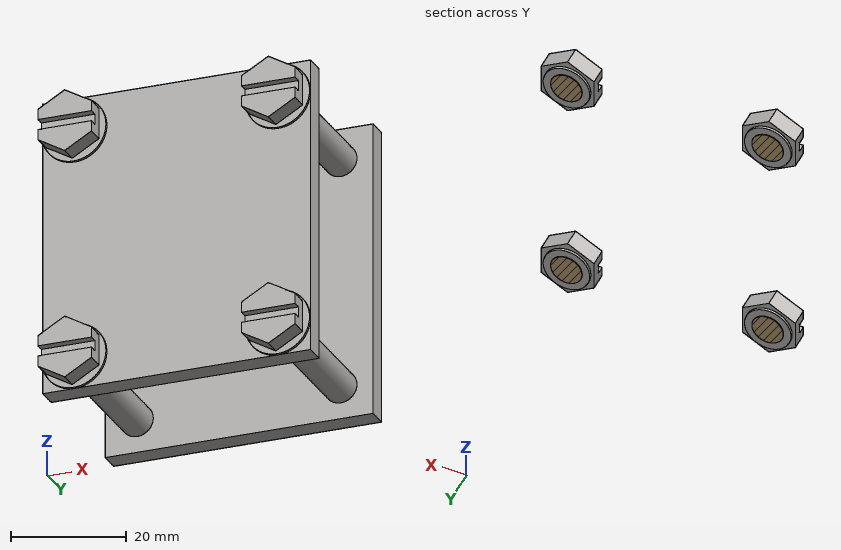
import cadquery as cq
import math

plate_width = 50.0
plate_height = 55.0
plate_thickness = 4.0
plate_gap = 25.0

screw_inset = 6.0
shank_diameter = 6.0
shank_overhang = 1.3

washer_diameter = 12.0
washer_thickness = 0.5
collar_diameter = 8.8
collar_thickness = 0.5
collar_gap = 0.2

head_sides = 6
head_across_flats = 10.0
head_thickness = 3.5
slot_width = 1.9
slot_depth = 1.6

rear_plate_front = plate_thickness + plate_gap
shank_end = rear_plate_front + plate_thickness + shank_overhang
collar_back = -washer_thickness - collar_gap
collar_front = collar_back - collar_thickness
head_front = collar_front - head_thickness

screw_x = plate_width / 2 - screw_inset
screw_z = plate_height / 2 - screw_inset


def plane_at(y):
    """XZ plane at the given Y whose normal points toward +Y."""
    return cq.Workplane(cq.Plane(origin=(0, y, 0), xDir=(1, 0, 0), normal=(0, 1, 0)))


def plate(front):
    return plane_at(front).rect(plate_width, plate_height).extrude(plate_thickness)


def disc(diameter, front, back):
    return plane_at(front).circle(diameter / 2).extrude(back - front)


def slotted_head():
    """Hexagon head with two corners on the Z axis and a slot along X."""
    corner_diameter = head_across_flats / math.cos(math.pi / head_sides)
    hexagon = plane_at(head_front).polygon(head_sides, corner_diameter).extrude(head_thickness)
    head = hexagon.rotate((0, 0, 0), (0, 1, 0), 90)
    slot = plane_at(head_front).rect(corner_diameter, slot_width).extrude(slot_depth)
    return head.cut(slot)


def screw():
    shank = disc(shank_diameter, collar_front, shank_end)
    washer = disc(washer_diameter, -washer_thickness, 0)
    collar = disc(collar_diameter, collar_front, collar_back)
    return slotted_head().union(collar).union(washer).union(shank)


result = plate(0).union(plate(rear_plate_front))
for x in (-screw_x, screw_x):
    for z in (-screw_z, screw_z):
        result = result.union(screw().translate((x, 0, z)))